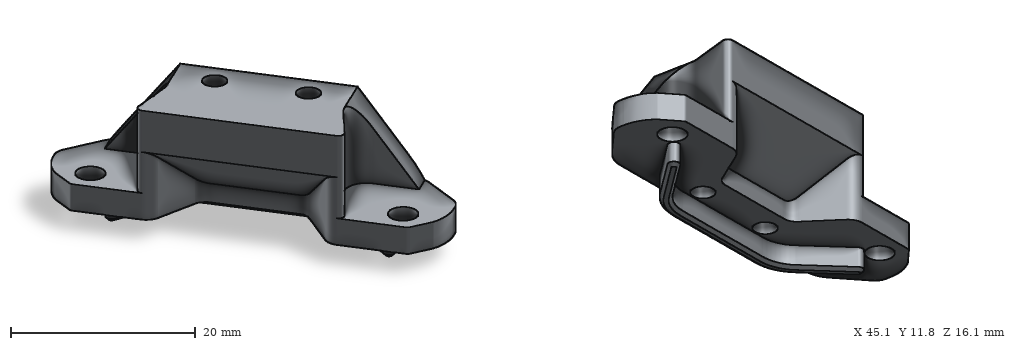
import cadquery as cq
import math

rib_height = 2.8
flange_top = 6.05
total_height = 16.1

half_length = 22.55
depth = 11.8
back_corner_x = 17.25
back_corner_radius = 4.05
side_slope = 0.907
side_corner_radius = 1.9
side_lowest_y = -6.18
nose_radius = 5.65
nose_end_y = -9.8
front_corner_x = 19.0
front_corner_radius = 0.6

tower_back_half_width = 9.95
tower_flare_angle = math.radians(17.2)
tower_front_half_width = 11.85
tower_corner_radius = 0.68

gusset_foot_x = 17.68
gusset_thickness = 2.85
gusset_fillet = 2.5

pocket_mouth_half_width = 9.95
pocket_back_half_width = 5.9
pocket_depth = 5.95
pocket_mouth_radius = 2.0
pocket_back_radius = 1.75
pocket_ceiling_front = 11.05

rib_thickness = 1.4
rib_outer_radius = 6.35
rib_bend_x = 6.8
rib_arm_length = 6.8
rib_bend_angle = math.radians(46.5)
rib_chamfer = 0.4

tower_hole_x = 5.28
tower_hole_y = -2.95
tower_hole_diameter = 2.75
flange_hole_x = 17.6
flange_hole_y = -8.85
flange_hole_diameter = 3.3

clearance = 2.25
pick_margin = 0.05


def prism(outline, bottom, top):
    """Extrude a closed wire lying on z = 0 between two heights."""
    return outline.extrude(top - bottom).translate((0, 0, bottom))


def round_corners(solid, x, y, radius):
    """Round the vertical edge at (x, y) and its mirror image."""
    for side in (-1, 1):
        low = (side * x - pick_margin, y - pick_margin, -pick_margin)
        high = (side * x + pick_margin, y + pick_margin, total_height + pick_margin)
        solid = solid.edges(cq.selectors.BoxSelector(low, high)).edges("|Z").fillet(radius)
    return solid


def make_flange():
    nose_center_x = half_length - nose_radius
    nose_end_x = nose_center_x + math.sqrt(nose_radius**2 - (nose_end_y - side_lowest_y) ** 2)
    mid_angle = math.atan2(nose_end_y - side_lowest_y, nose_end_x - nose_center_x) / 2
    nose_mid_x = nose_center_x + nose_radius * math.cos(mid_angle)
    nose_mid_y = side_lowest_y + nose_radius * math.sin(mid_angle)
    side_corner_y = -(half_length - back_corner_x) * side_slope
    outline = (
        cq.Workplane()
        .moveTo(-back_corner_x, 0)
        .lineTo(back_corner_x, 0)
        .lineTo(half_length, side_corner_y)
        .lineTo(half_length, side_lowest_y)
        .threePointArc((nose_mid_x, nose_mid_y), (nose_end_x, nose_end_y))
        .lineTo(front_corner_x, -depth)
        .lineTo(-front_corner_x, -depth)
        .lineTo(-nose_end_x, nose_end_y)
        .threePointArc((-nose_mid_x, nose_mid_y), (-half_length, side_lowest_y))
        .lineTo(-half_length, side_corner_y)
        .close()
    )
    column = prism(outline, rib_height, total_height)
    column = round_corners(column, back_corner_x, 0, back_corner_radius)
    column = round_corners(column, half_length, side_corner_y, side_corner_radius)
    column = round_corners(column, front_corner_x, -depth, front_corner_radius)
    return column


def make_upper_body():
    """Tower with a sloped gusset blended into each side."""
    fillet_center_x = tower_back_half_width + gusset_fillet
    fillet_center_y = -gusset_thickness - gusset_fillet

    def fillet_point(angle):
        """Point on the concave fillet; the angle is measured from the X axis."""
        x = fillet_center_x - gusset_fillet * math.cos(angle)
        return (x, fillet_center_y + gusset_fillet * math.sin(angle))

    waist = fillet_point(-tower_flare_angle)
    back_waist = fillet_point(0)
    fillet_start = fillet_point(math.pi / 2)
    fillet_mid = fillet_point(math.pi / 4)

    half_tower = prism(
        cq.Workplane()
        .moveTo(0, 0)
        .lineTo(tower_back_half_width, 0)
        .lineTo(*back_waist)
        .threePointArc(fillet_point(-tower_flare_angle / 2), waist)
        .lineTo(tower_front_half_width, -depth)
        .lineTo(0, -depth)
        .close(),
        rib_height, total_height,
    )
    tower = half_tower.union(half_tower.mirror("YZ"))
    tower = round_corners(tower, tower_front_half_width, -depth, tower_corner_radius)

    gusset = prism(
        cq.Workplane()
        .moveTo(0, 0)
        .lineTo(half_length, 0)
        .lineTo(half_length, -gusset_thickness)
        .lineTo(*fillet_start)
        .threePointArc(fillet_mid, back_waist)
        .lineTo(0, fillet_center_y)
        .close(),
        rib_height, total_height,
    )
    slope_profile = (
        cq.Workplane("XZ")
        .polyline([
            (0, rib_height),
            (gusset_foot_x, rib_height),
            (gusset_foot_x, flange_top),
            (tower_back_half_width, total_height),
            (0, total_height),
        ])
        .close()
        .extrude(depth)
    )
    gusset = gusset.intersect(slope_profile)
    return tower.union(gusset).union(gusset.mirror("YZ"))


def make_pocket():
    """Cutter whose mouth flares out into the front face."""
    mouth_y = -depth
    back_y = mouth_y + pocket_depth
    outer_x = tower_front_half_width + clearance
    outline = (
        cq.Workplane()
        .polyline([
            (-outer_x, mouth_y - clearance),
            (-outer_x, mouth_y),
            (-pocket_mouth_half_width, mouth_y),
            (-pocket_back_half_width, back_y),
            (pocket_back_half_width, back_y),
            (pocket_mouth_half_width, mouth_y),
            (outer_x, mouth_y),
            (outer_x, mouth_y - clearance),
        ])
        .close()
    )
    pocket = prism(outline, rib_height, pocket_ceiling_front + clearance)
    pocket = round_corners(pocket, pocket_mouth_half_width, mouth_y, pocket_mouth_radius)
    pocket = round_corners(pocket, pocket_back_half_width, back_y, pocket_back_radius)
    ceiling = (
        cq.Workplane("YZ")
        .polyline([
            (mouth_y - clearance, rib_height),
            (back_y, rib_height),
            (back_y, pocket_ceiling_front - pocket_depth),
            (mouth_y - clearance, pocket_ceiling_front + clearance),
        ])
        .close()
        .extrude(outer_x, both=True)
    )
    return pocket.intersect(ceiling)


def make_rib():
    """Strip along the back edge, bent forward at both ends, with round tips."""
    inner_radius = rib_outer_radius - rib_thickness
    middle_radius = rib_outer_radius - rib_thickness / 2

    def bend_point(radius, angle):
        x = rib_bend_x + radius * math.sin(angle)
        return (x, radius * math.cos(angle) - rib_outer_radius)

    def arm_point(radius, length):
        x, y = bend_point(radius, rib_bend_angle)
        x += length * math.cos(rib_bend_angle)
        return (x, y - length * math.sin(rib_bend_angle))

    half_angle = rib_bend_angle / 2
    tip = arm_point(middle_radius, rib_arm_length + rib_thickness / 2)
    half_outline = (
        cq.Workplane()
        .moveTo(0, 0)
        .lineTo(rib_bend_x, 0)
        .threePointArc(bend_point(rib_outer_radius, half_angle), arm_point(rib_outer_radius, 0))
        .lineTo(*arm_point(rib_outer_radius, rib_arm_length))
        .threePointArc(tip, arm_point(inner_radius, rib_arm_length))
        .lineTo(*arm_point(inner_radius, 0))
        .threePointArc(bend_point(inner_radius, half_angle), bend_point(inner_radius, 0))
        .lineTo(0, -rib_thickness)
        .close()
    )
    half_rib = prism(half_outline, 0, rib_height)
    rib = half_rib.union(half_rib.mirror("YZ")).clean()
    return rib.faces("<Z").edges().chamfer(rib_chamfer)


def make_holes(x, y, diameter):
    return (
        cq.Workplane()
        .pushPoints([(-x, y), (x, y)])
        .circle(diameter / 2)
        .extrude(total_height)
    )


column = make_flange()
flange_slab = cq.Workplane().box(
    2 * half_length, 2 * depth, flange_top, centered=(True, True, False)
)
result = (
    column.intersect(flange_slab)
    .union(make_upper_body().intersect(column))
    .cut(make_pocket())
    .union(make_rib())
    .cut(make_holes(tower_hole_x, tower_hole_y, tower_hole_diameter))
    .cut(make_holes(flange_hole_x, flange_hole_y, flange_hole_diameter))
)